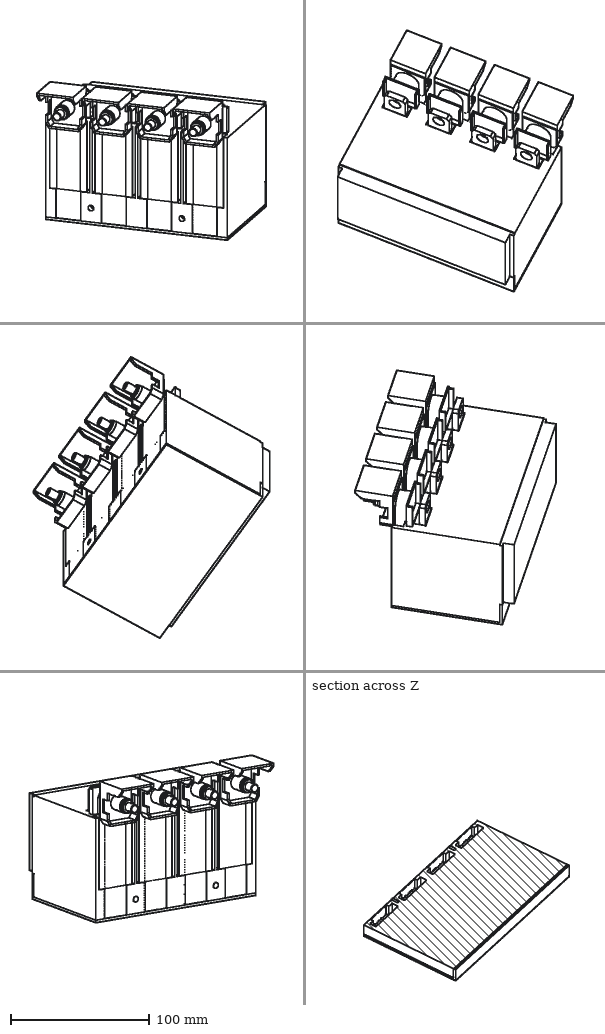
import cadquery as cq

WIDTH = 140.0
HOUSING_TOP = 78.1
HOUSING_BACK = 82.5
BASE_THICKNESS = 2.0
BASE_BACK_TOP = 19.3
REAR_LEDGE_DROP = 1.0
RAIL_BLOCK_BACK = 90.5
RAIL_BLOCK_INSET = 3.1

POLE_COUNT = 4
POLE_PITCH = WIDTH / POLE_COUNT
POLE_CENTRES = [(i + 0.5) * POLE_PITCH for i in range(POLE_COUNT)]

PANEL_THICKNESS = 0.8
PANEL_WIDTH = 28.8
PANEL_FOOT_WIDTH = 19.0
PANEL_NECK_WIDTH = 26.9
PANEL_TOP = 99.8
LEDGE_HEIGHT = 24.2
SIDE_SLOT = 2.1
RECESS_DEPTH = 8.1
FOOT_POCKET_LIP = 3.1
FOOT_POCKET_WIDTH = 26.9

FIXING_HOLE_DIAMETER = 4.2
FIXING_HOLE_DEPTH = 5.6
FIXING_HOLE_HEIGHT = 12.6
FIXING_HOLE_PLACES = [POLE_PITCH, WIDTH - POLE_PITCH]

HOOD_WIDTH = 28.0
HOOD_WALL = 1.5
HOOD_TOP = 105.5
HOOD_BOTTOM = 73.4
HOOD_CORNER_RUN = 2.8
HOOD_CORNER_RISE = 4.3
HOOD_REACH = 28.0
HOOD_ARM_BOTTOM = 98.5
HOOD_TIP_BOTTOM = 103.2
HOOD_TIP_RUN = 4.6
HOOD_WEB_REACH = 9.7
WINDOW_START = 3.6
WINDOW_HEIGHT = 10.0

STUD_HEIGHT = 87.9
BOSS_STEPS = [(5.5, 13.0), (5.2, 15.1), (4.8, 16.4)]
STUD_RADIUS = 3.1
STUD_REACH = 24.4
STUD_CHAMFER = 0.4

SPACER_RADIUS = 9.1

CHANNEL_FRONT = 10.1
CHANNEL_WEB = 1.1
CHANNEL_BACK = 14.5
CHANNEL_WIDTH = 26.9
CHANNEL_FLANGE = 1.3
CHANNEL_TOP = 98.1
FLANGE_TOP = 97.0

TAB_FRONT = 18.6
TAB_BACK = 23.0
TAB_WIDTH = 16.8
TAB_TOP = 95.3
TAB_CHAMFER = 2.1
TAB_HOLE_DIAMETER = 9.0
LINK_WIDTH = 19.6
LINK_BACK = 23.5
LINK_POCKET_DEPTH = 4.2
LINK_SINK = 1.4


def box(x_range, y_range, z_range):
    """Box between pairs of limits along X, Y and Z."""
    (x0, x1), (y0, y1), (z0, z1) = x_range, y_range, z_range
    return cq.Workplane("XY").box(x1 - x0, y1 - y0, z1 - z0, centered=False).translate((x0, y0, z0))


def centred_box(centre, width, y_range, z_range):
    """Box of the given width, centred along X."""
    return box((centre - width / 2, centre + width / 2), y_range, z_range)


def front_plane(y):
    """Sketch plane facing -Y, with sketch x along X and sketch y along Z."""
    return cq.Workplane("XZ", origin=(0, y, 0))


def make_base():
    """L-shaped plate under the housing and up the lower part of its back."""
    floor = box((0, WIDTH), (0, HOUSING_BACK), (0, BASE_THICKNESS))
    back = box((0, WIDTH), (HOUSING_BACK - BASE_THICKNESS, HOUSING_BACK), (0, BASE_BACK_TOP))
    return floor.union(back)


def recess_cutter(centre):
    """Front recess: wide above the ledge, a T-shaped pocket below it."""
    half_width = PANEL_WIDTH / 2 + SIDE_SLOT
    outer_margin = POLE_CENTRES[0] - PANEL_WIDTH / 2
    left = max(centre - half_width, outer_margin)
    right = min(centre + half_width, WIDTH - outer_margin)
    upper = box((left, right), (0, RECESS_DEPTH), (LEDGE_HEIGHT, HOUSING_TOP))
    lower_span = (BASE_THICKNESS, LEDGE_HEIGHT)
    mouth = centred_box(centre, PANEL_FOOT_WIDTH, (0, RECESS_DEPTH), lower_span)
    pocket = centred_box(centre, FOOT_POCKET_WIDTH, (FOOT_POCKET_LIP, RECESS_DEPTH), lower_span)
    return upper.union(mouth).union(pocket)


def link_pocket(centre):
    """Pocket in the housing top that takes the link and the foot of the channel."""
    span = (HOUSING_TOP - LINK_POCKET_DEPTH, HOUSING_TOP)
    link = centred_box(centre, LINK_WIDTH, (CHANNEL_BACK, LINK_BACK), span)
    return link.union(channel_foot(centre))


def channel_foot(centre):
    """Block below the web and between the flanges, flush with the housing top."""
    return centred_box(
        centre,
        CHANNEL_WIDTH - 2 * CHANNEL_FLANGE,
        (CHANNEL_FRONT, CHANNEL_BACK),
        (HOUSING_TOP - LINK_POCKET_DEPTH, HOUSING_TOP),
    )


def make_housing():
    ledge_front = HOUSING_BACK - BASE_THICKNESS
    ledge_top = HOUSING_TOP - REAR_LEDGE_DROP
    housing = box((0, WIDTH), (0, ledge_front), (BASE_THICKNESS, HOUSING_TOP))
    rear_ledge = box((0, WIDTH), (ledge_front, HOUSING_BACK), (BASE_BACK_TOP, ledge_top))
    rail_block = centred_box(
        WIDTH / 2,
        WIDTH - 2 * RAIL_BLOCK_INSET,
        (HOUSING_BACK, RAIL_BLOCK_BACK),
        (BASE_BACK_TOP, ledge_top),
    )
    housing = housing.union(rear_ledge).union(rail_block)
    for centre in POLE_CENTRES:
        housing = housing.cut(recess_cutter(centre)).cut(link_pocket(centre))
    fixing_holes = (
        front_plane(0)
        .pushPoints([(x, FIXING_HOLE_HEIGHT) for x in FIXING_HOLE_PLACES])
        .circle(FIXING_HOLE_DIAMETER / 2)
        .extrude(-FIXING_HOLE_DEPTH)
    )
    return housing.cut(fixing_holes)


def make_panel(centre):
    """Thin stepped plate: narrow foot, wide middle, neck behind the hood."""
    depth = (0, PANEL_THICKNESS)
    foot = centred_box(centre, PANEL_FOOT_WIDTH, depth, (BASE_THICKNESS, LEDGE_HEIGHT))
    middle = centred_box(centre, PANEL_WIDTH, depth, (LEDGE_HEIGHT, HOUSING_TOP))
    neck = centred_box(centre, PANEL_NECK_WIDTH, depth, (HOUSING_TOP, PANEL_TOP))
    return foot.union(middle).union(neck)


def hood_section(centre, inset):
    """Hood cross-section with its lower corners cut, pulled in by the inset."""
    half = HOOD_WIDTH / 2 - inset
    bottom = HOOD_BOTTOM + inset
    shoulder = HOOD_BOTTOM + HOOD_CORNER_RISE + inset / 2
    toe = HOOD_WIDTH / 2 - HOOD_CORNER_RUN - inset / 2
    return (
        front_plane(0)
        .polyline([
            (centre - half, HOOD_TOP - inset),
            (centre - half, shoulder),
            (centre - toe, bottom),
            (centre + toe, bottom),
            (centre + half, shoulder),
            (centre + half, HOOD_TOP - inset),
        ])
        .close()
        .extrude(HOOD_REACH)
    )


def make_hood(centre):
    """Box open to the front, trimmed to a C-shaped side outline."""
    window_bottom = STUD_HEIGHT - WINDOW_HEIGHT / 2
    window_top = STUD_HEIGHT + WINDOW_HEIGHT / 2
    side_outline = (
        cq.Workplane("YZ", origin=(centre - HOOD_WIDTH / 2, 0, 0))
        .polyline([
            (0, HOOD_TOP),
            (-HOOD_REACH, HOOD_TOP),
            (-HOOD_REACH, HOOD_TIP_BOTTOM),
            (-HOOD_REACH + HOOD_TIP_RUN, HOOD_ARM_BOTTOM),
            (-HOOD_WEB_REACH, HOOD_ARM_BOTTOM),
            (-HOOD_WEB_REACH, window_top),
            (-WINDOW_START, window_top),
            (-WINDOW_START, window_bottom),
            (-HOOD_WEB_REACH, window_bottom),
            (-HOOD_WEB_REACH, HOOD_BOTTOM),
            (0, HOOD_BOTTOM),
        ])
        .close()
        .extrude(HOOD_WIDTH)
    )
    hollow = hood_section(centre, HOOD_WALL).translate((0, -HOOD_WALL, 0))
    return hood_section(centre, 0).cut(hollow).intersect(side_outline)


def make_stud(centre):
    """Stepped boss with a chamfered stud, standing forward from the panel."""
    stud = (
        front_plane(0)
        .center(centre, STUD_HEIGHT)
        .circle(STUD_RADIUS)
        .extrude(STUD_REACH)
        .faces("<Y")
        .chamfer(STUD_CHAMFER)
    )
    for radius, reach in BOSS_STEPS:
        stud = stud.union(front_plane(0).center(centre, STUD_HEIGHT).circle(radius).extrude(reach))
    return stud


def make_spacer(centre):
    """Upright block with a half-round top, from the panel to the channel, with a leg down the recess."""
    length = CHANNEL_FRONT - PANEL_THICKNESS
    leg = centred_box(
        centre,
        2 * SPACER_RADIUS,
        (PANEL_THICKNESS, RECESS_DEPTH),
        (LEDGE_HEIGHT, HOUSING_TOP),
    )
    block = (
        front_plane(CHANNEL_FRONT)
        .moveTo(centre - SPACER_RADIUS, HOUSING_TOP)
        .lineTo(centre - SPACER_RADIUS, STUD_HEIGHT)
        .threePointArc((centre, STUD_HEIGHT + SPACER_RADIUS), (centre + SPACER_RADIUS, STUD_HEIGHT))
        .lineTo(centre + SPACER_RADIUS, HOUSING_TOP)
        .close()
        .extrude(length)
    )
    return block.union(leg)


def make_channel(centre):
    """Web with two lower flanges, open to the back."""
    web_back = CHANNEL_FRONT + CHANNEL_WEB
    web = centred_box(centre, CHANNEL_WIDTH, (CHANNEL_FRONT, web_back), (HOUSING_TOP, CHANNEL_TOP))
    channel = web.union(channel_foot(centre))
    for side in (-1, 1):
        flange_centre = centre + side * (CHANNEL_WIDTH - CHANNEL_FLANGE) / 2
        channel = channel.union(
            centred_box(
                flange_centre,
                CHANNEL_FLANGE,
                (web_back, CHANNEL_BACK),
                (HOUSING_TOP, FLANGE_TOP),
            )
        )
    return channel


def make_tab(centre):
    """Upright tab with chamfered top corners and a hole, on its sunk link."""
    link_top = HOUSING_TOP - LINK_SINK
    link = centred_box(
        centre,
        LINK_WIDTH,
        (CHANNEL_BACK, LINK_BACK),
        (HOUSING_TOP - LINK_POCKET_DEPTH, link_top),
    )
    tab = centred_box(centre, TAB_WIDTH, (TAB_FRONT, TAB_BACK), (link_top, TAB_TOP))
    tab = tab.faces(">Z").edges("|Y").chamfer(TAB_CHAMFER)
    hole = (
        front_plane(TAB_BACK)
        .center(centre, STUD_HEIGHT)
        .circle(TAB_HOLE_DIAMETER / 2)
        .extrude(TAB_BACK - TAB_FRONT)
    )
    return link.union(tab.cut(hole))


def make_terminal(centre):
    terminal = make_panel(centre)
    for piece in (make_hood, make_stud, make_spacer, make_channel, make_tab):
        terminal = terminal.union(piece(centre))
    return terminal


base = make_base()
housing = make_housing()
terminals = [make_terminal(centre) for centre in POLE_CENTRES]

result = cq.Compound.makeCompound(
    [base.val(), housing.val(), *[terminal.val() for terminal in terminals]]
)